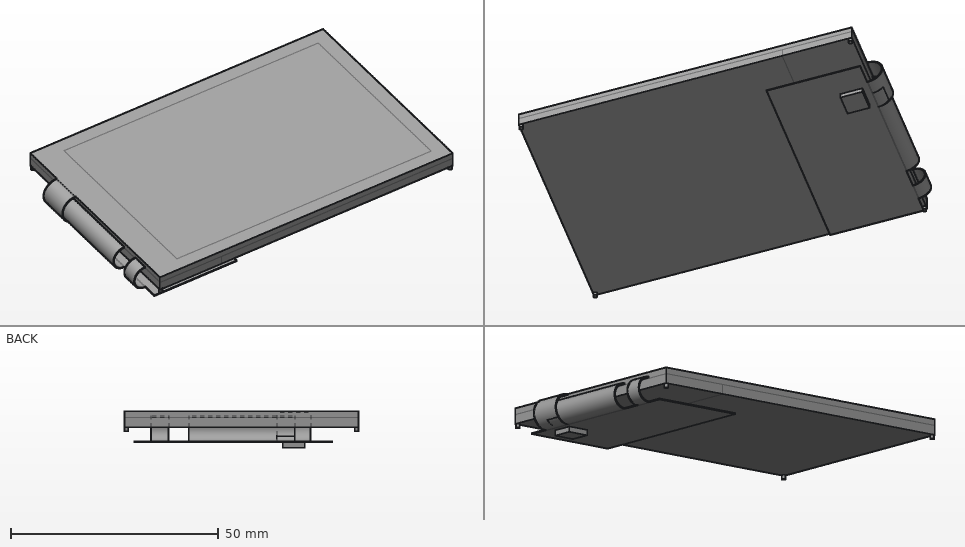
import cadquery as cq

overall_length = 88.7
overall_height = 8.9

panel_width = 56.5
panel_length = 84.8
glass_thickness = 1.5
panel_thickness = 3.9
front_section_length = 17.7

window_width = 49.15
window_front = 7.3
window_back = 80.9

pin_diameter = 1.0
pin_height = 1.0

board_left = -21.9
board_right = 25.8
board_length = 23.9
board_bottom = -7.5
sheet_thickness = 0.3

chip_left = -15.3
chip_width = 5.3
chip_front = 1.7
chip_length = 5.6

outer_reach = overall_length - panel_length
inner_reach = 3.3
inner_top = -1.15
cables = [
    (-16.7, -8.5, 0.0, outer_reach),
    (-12.9, 12.8, inner_top, inner_reach),
    (17.6, 21.8, inner_top, inner_reach),
]


def block(x_range, y_range, z_range):
    """Box spanning the given coordinate ranges."""
    sizes = [high - low for low, high in (x_range, y_range, z_range)]
    corner = (x_range[0], y_range[0], z_range[0])
    return cq.Workplane("XY").box(*sizes, centered=False).translate(corner)


def flex_cable(left, right, top, reach):
    """Thin U-shaped strip joining the glass edge to the board."""
    outer_radius = (top - board_bottom) / 2
    inner_radius = outer_radius - sheet_thickness
    middle = board_bottom + outer_radius
    bend_y = outer_radius - reach
    return (
        cq.Workplane("YZ", origin=(left, 0, 0))
        .moveTo(0, top)
        .lineTo(bend_y, top)
        .threePointArc((-reach, middle), (bend_y, board_bottom))
        .lineTo(0, board_bottom)
        .lineTo(0, board_bottom + sheet_thickness)
        .lineTo(bend_y, board_bottom + sheet_thickness)
        .threePointArc((bend_y - inner_radius, middle), (bend_y, top - sheet_thickness))
        .lineTo(0, top - sheet_thickness)
        .close()
        .extrude(right - left)
    )


panel_x = (-panel_width / 2, panel_width / 2)
glass_z = (-glass_thickness, 0)
body_z = (-panel_thickness, -glass_thickness)
glass = block(panel_x, (0, panel_length), glass_z)
window = block((-window_width / 2, window_width / 2), (window_front, window_back), glass_z)
front_body = block(panel_x, (0, front_section_length), body_z)
back_body = block(panel_x, (front_section_length, panel_length), body_z)

result = glass.cut(window)
for section in (window, front_body, back_body):
    result = result.union(section, clean=False)

pins = (
    cq.Workplane("XY", origin=(0, panel_length / 2, -panel_thickness))
    .rect(panel_width - pin_diameter, panel_length - pin_diameter, forConstruction=True)
    .vertices()
    .circle(pin_diameter / 2)
    .extrude(-pin_height)
)
result = result.union(pins, clean=False)

for cable in cables:
    result = result.union(flex_cable(*cable), clean=False)

board = block(
    (board_left, board_right),
    (0, board_length),
    (board_bottom, board_bottom + sheet_thickness),
)
chip = block(
    (chip_left, chip_left + chip_width),
    (chip_front, chip_front + chip_length),
    (-overall_height, board_bottom),
)
result = result.union(board, clean=False).union(chip, clean=False)